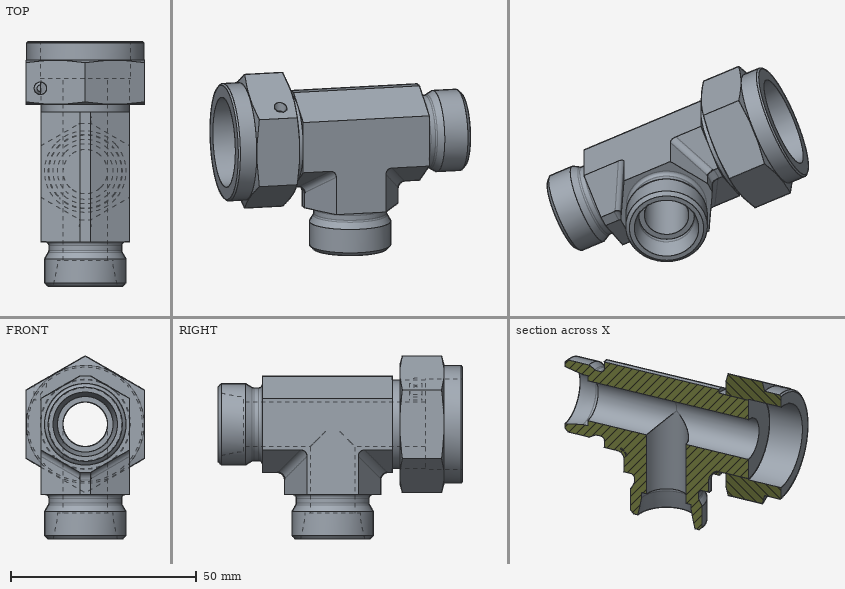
import cadquery as cq
import math


across_flats = 24.0
crest_flat_distance = 13.0
shoulder_distance = 19.0
spigot_reach = 31.0
run_back = 16.15
crotch_fillet = 2.0
bore_diameter = 12.0

spigot_diameter = 22.0
groove_diameter = 19.7
groove_fillet = 1.0
groove_length = 1.3
groove_cone_angle = math.radians(30)
end_chamfer = 1.0
socket_diameter = 15.0
socket_depth = 7.0
cone_mouth_diameter = 17.4
cone_half_angle = math.radians(12)

neck_diameter = 24.0
neck_end = 25.15

nut_across_flats = 32.0
nut_front = 18.1
nut_hex_back = 30.1
nut_back = 35.1
collar_diameter = 31.8
collar_chamfer = 0.45
nut_chamfer_angle = math.radians(15)
thread_bore_diameter = 24.35

wire_hole_diameter = 3.4
wire_hole_x = -12.1
wire_hole_y = 22.5
wire_floor_radius = 14.55
wire_pocket_floor = 6.6
wire_button_chamfer = 0.8


def revolve_about_z(outline):
    """Revolve a closed (radius, height) outline drawn on XZ about the Z axis."""
    return outline.close().revolve(360, (0, 0, 0), (0, 1, 0))


def along_positive_y(shape):
    """Turn a shape built along +Z so that it lies along +Y."""
    return shape.rotate((0, 0, 0), (1, 0, 0), -90)


def along_negative_y(shape):
    """Turn a shape built along +Z so that it lies along -Y."""
    return shape.rotate((0, 0, 0), (1, 0, 0), 90)


def down(shape):
    """Turn a shape built along +Z so that it points along -Z."""
    return shape.rotate((0, 0, 0), (1, 0, 0), 180)


def hexagon(flats, start, end):
    """Hexagonal bar along +Z with flats at +X and -X."""
    corner_diameter = flats / math.cos(math.pi / 6)
    profile = cq.Workplane("XY").workplane(offset=start)
    return profile.transformed(rotate=(0, 0, 90)).polygon(6, corner_diameter).extrude(end - start)


def truncated_hexagon(start, end):
    """Hexagonal bar along +Z whose two crests on the Y axis are cut flat."""
    crest_limit = cq.Workplane("XY").box(across_flats, 2 * crest_flat_distance, 2 * spigot_reach)
    return hexagon(across_flats, start, end).intersect(crest_limit)


def spigot():
    """Outer shape of a threaded spigot along +Z, with its undercut groove."""
    outer = spigot_diameter / 2
    groove = groove_diameter / 2
    cosine = math.cos(groove_cone_angle)
    sine = math.sin(groove_cone_angle)
    groove_start = shoulder_distance + groove_fillet
    groove_end = groove_start + groove_length
    cone_start_radius = groove + groove_fillet * (1 - cosine)
    cone_start = groove_end + groove_fillet * sine
    cone_end = cone_start + (outer - cone_start_radius) / math.tan(groove_cone_angle)
    bend = groove_fillet * (1 - math.sqrt(0.5))
    half_angle = groove_cone_angle / 2
    outline = (
        cq.Workplane("XZ")
        .moveTo(0, shoulder_distance)
        .lineTo(groove + groove_fillet, shoulder_distance)
        .threePointArc((groove + bend, shoulder_distance + bend), (groove, groove_start))
        .lineTo(groove, groove_end)
        .threePointArc(
            (groove + groove_fillet * (1 - math.cos(half_angle)),
             groove_end + groove_fillet * math.sin(half_angle)),
            (cone_start_radius, cone_start),
        )
        .lineTo(outer, cone_end)
        .lineTo(outer, spigot_reach - end_chamfer)
        .lineTo(outer - end_chamfer, spigot_reach)
        .lineTo(0, spigot_reach)
    )
    return revolve_about_z(outline)


def spigot_bore():
    """Bore, tube socket and sealing cone of a spigot along +Z, from the origin."""
    bore = bore_diameter / 2
    socket = socket_diameter / 2
    mouth = cone_mouth_diameter / 2
    cone_depth = (mouth - socket) / math.tan(cone_half_angle)
    outline = (
        cq.Workplane("XZ")
        .lineTo(bore, 0)
        .lineTo(bore, spigot_reach - socket_depth)
        .lineTo(socket, spigot_reach - socket_depth)
        .lineTo(socket, spigot_reach - cone_depth)
        .lineTo(mouth, spigot_reach)
        .lineTo(0, spigot_reach)
    )
    return revolve_about_z(outline)


def lies_in_crotch(edge):
    """True for an edge across X where a face of the run meets a face of the branch."""
    tolerance = 0.005
    start = edge.startPoint()
    end = edge.endPoint()
    on_miter = all(abs(abs(point.y) + point.z) < tolerance for point in (start, end))
    return on_miter and abs(start.x - end.x) > tolerance


def tee_block():
    """Hexagonal run and branch, filleted where they meet."""
    run = along_negative_y(truncated_hexagon(-run_back, shoulder_distance))
    branch = down(truncated_hexagon(0, shoulder_distance))
    block = run.union(branch)
    crotch_edges = [edge for edge in block.edges().vals() if lies_in_crotch(edge)]
    return block.newObject(crotch_edges).fillet(crotch_fillet)


def tee_body():
    """Tee block with its neck, two spigots and the crossing bores."""
    neck = along_positive_y(
        cq.Workplane("XY").workplane(offset=run_back).circle(neck_diameter / 2).extrude(neck_end - run_back)
    )
    neck_bore = along_positive_y(cq.Workplane("XY").circle(bore_diameter / 2).extrude(neck_end))
    body = tee_block().union(neck)
    for place in (along_negative_y, down):
        body = body.union(place(spigot()))
    for place in (along_negative_y, down):
        body = body.cut(place(spigot_bore()))
    return body.cut(neck_bore)


def wire_hole():
    """Vertical blind hole, curved floor on its inner half and a chamfered button in its deeper half."""
    radius = wire_hole_diameter / 2
    center = (wire_hole_x, wire_hole_y)
    hole = (
        cq.Workplane("XY").workplane(offset=wire_pocket_floor).center(*center)
        .circle(radius).extrude(nut_across_flats / 2)
    )
    button = (
        cq.Workplane("XY").workplane(offset=wire_pocket_floor).center(*center)
        .circle(radius).workplane(offset=wire_button_chamfer)
        .circle(radius - wire_button_chamfer).loft()
    )
    curved_floor = along_positive_y(
        cq.Workplane("XY").workplane(offset=nut_front)
        .circle(wire_floor_radius).extrude(nut_hex_back - nut_front)
    )
    inner_half = cq.Workplane("XY").box(
        -wire_hole_x, nut_back, nut_across_flats, centered=(False, False, True)
    ).translate((wire_hole_x, 0, 0))
    return hole.cut(button).cut(curved_floor.intersect(inner_half))


def nut_envelope():
    """Round shape whose conical ends chamfer the corners of the nut hexagon."""
    face = collar_diameter / 2
    corner = nut_across_flats / math.sqrt(3)
    slope = (corner - face) * math.tan(nut_chamfer_angle)
    outline = (
        cq.Workplane("XZ")
        .moveTo(0, nut_front)
        .lineTo(face, nut_front)
        .lineTo(corner, nut_front + slope)
        .lineTo(corner, nut_hex_back - slope)
        .lineTo(face, nut_hex_back)
        .lineTo(0, nut_hex_back)
    )
    return revolve_about_z(outline)


def swivel_nut():
    """Hexagonal nut with a rear collar, closed around the neck and open at the back."""
    hexagonal = hexagon(nut_across_flats, nut_front, nut_hex_back).intersect(nut_envelope())
    collar = (
        cq.Workplane("XY").workplane(offset=nut_hex_back)
        .circle(collar_diameter / 2).extrude(nut_back - nut_hex_back)
        .faces(">Z").chamfer(collar_chamfer)
    )
    neck_hole = (
        cq.Workplane("XY").workplane(offset=nut_front)
        .circle(neck_diameter / 2).extrude(neck_end - nut_front)
    )
    thread_bore = (
        cq.Workplane("XY").workplane(offset=neck_end)
        .circle(thread_bore_diameter / 2).extrude(nut_back - neck_end)
    )
    nut = hexagonal.union(collar).cut(neck_hole).cut(thread_bore)
    return along_positive_y(nut).cut(wire_hole())


body = tee_body()
nut = swivel_nut()
result = cq.Compound.makeCompound([body.val(), nut.val()])